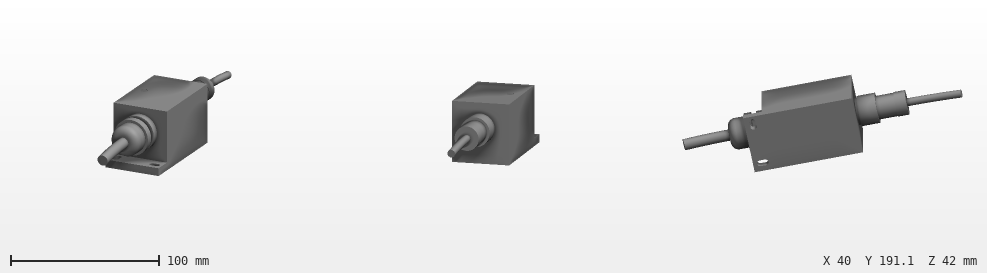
import cadquery as cq
import math

FRONT = -1
REAR = 1

total_length = 191.1
width = 40.0
height = 42
housing_length = 61.5
foot_length = 12.6
foot_thickness = 5.5
axis_height = 24.7

slot_width = 4.2
slot_length = 7.6
slot_offset = 14.3
lengthwise_slot_y = -6.0
crosswise_slot_y = -7.0

window_radius = 2.5
window_depth = 0.2
window_edge_distance = 7.8

flange_radius = 12.6
inner_flange_length = 5.2
groove_radius = 7.3
groove_length = 3.8
outer_flange_length = 5.0
cap_radius = 10.7
cap_length = 11.8
dome_radius = 5.2
gland_length = inner_flange_length + groove_length + outer_flange_length + cap_length

neck_radius = 9.2
neck_length = 1.5
collar_radius = 10.3
collar_length = 12.5
sleeve_radius = 8.0
sleeve_length = 12.6
head_radius = 8.5
head_length = 7.6
plug_length = collar_length + sleeve_length + head_length

front_cable_radius = 3.8
front_cable_reach = 32.0
front_cable_bend = 9
rear_cable_radius = 2.7
rear_cable_reach = total_length - (
    front_cable_reach + gland_length + housing_length + neck_length + plug_length
)
rear_cable_bend = 7


def axis_plane(y, direction):
    """Plane across the common axis at y, with its normal along the given Y direction."""
    return cq.Plane(origin=(0, y, axis_height), xDir=(1, 0, 0), normal=(0, direction, 0))


def stepped_cylinder(start_y, direction, steps):
    """Coaxial cylinders, each a (radius, length) step, joined end to end."""
    stack = cq.Workplane()
    y = start_y
    for radius, length in steps:
        stack = stack.union(cq.Workplane(axis_plane(y, direction)).circle(radius).extrude(length))
        y += direction * length
    return stack


def bent_cable(start_y, direction, radius, reach, bend):
    """Round cable swept along an arc of bend degrees; reach ends at its end face's upper edge."""
    angle = math.radians(bend)
    bend_radius = reach / math.sin(angle) - radius

    def arc_point(turn):
        y = start_y + direction * bend_radius * math.sin(turn)
        z = axis_height - bend_radius * (1 - math.cos(turn))
        return (y, z)

    path = (
        cq.Workplane("YZ")
        .moveTo(start_y, axis_height)
        .threePointArc(arc_point(angle / 2), arc_point(angle))
    )
    return cq.Workplane(axis_plane(start_y, direction)).circle(radius).sweep(path)


def make_housing_block():
    """Block with its slotted foot and indicator window."""
    side_outline = [
        (-foot_length, 0),
        (housing_length, 0),
        (housing_length, height),
        (0, height),
        (0, foot_thickness),
        (-foot_length, foot_thickness),
    ]
    block = cq.Workplane("YZ").polyline(side_outline).close().extrude(width / 2, both=True)

    for x, y, angle in [(-slot_offset, lengthwise_slot_y, 90), (slot_offset, crosswise_slot_y, 0)]:
        slot = (
            cq.Workplane()
            .center(x, y)
            .slot2D(slot_length, slot_width, angle)
            .extrude(foot_thickness)
        )
        block = block.cut(slot)

    window = (
        cq.Workplane(origin=(window_edge_distance - width / 2, housing_length / 2, height))
        .circle(window_radius)
        .extrude(-window_depth)
    )
    return block.cut(window)


def make_gland():
    """Cable gland with a rounded cap, ending at the cable outlet."""
    gland = stepped_cylinder(
        0,
        FRONT,
        [
            (flange_radius, inner_flange_length),
            (groove_radius, groove_length),
            (flange_radius, outer_flange_length),
            (cap_radius, cap_length),
        ],
    )
    return gland.faces("<Y").edges().fillet(dome_radius)


def make_housing():
    """Housing block with its gland, front cable and rear socket neck."""
    cable = bent_cable(-gland_length, FRONT, front_cable_radius, front_cable_reach, front_cable_bend)
    neck = stepped_cylinder(housing_length, REAR, [(neck_radius, neck_length)])
    return make_housing_block().union(make_gland()).union(cable).union(neck)


def make_plug():
    """Cable plug butting against the socket neck, with its own thinner cable."""
    plug_start = housing_length + neck_length
    fitting = stepped_cylinder(
        plug_start,
        REAR,
        [
            (collar_radius, collar_length),
            (sleeve_radius, sleeve_length),
            (head_radius, head_length),
        ],
    )
    cable = bent_cable(
        plug_start + plug_length, REAR, rear_cable_radius, rear_cable_reach, rear_cable_bend
    )
    return fitting.union(cable)


housing = make_housing()
plug = make_plug()

result = cq.Compound.makeCompound([housing.solids().val(), plug.solids().val()])